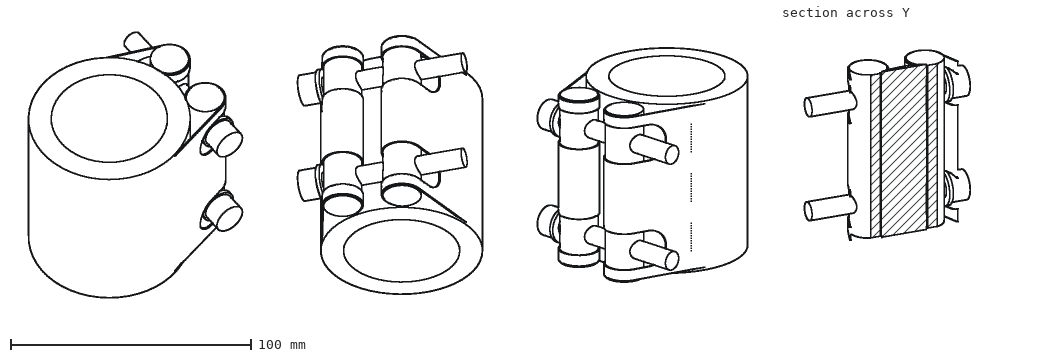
import cadquery as cq
import math

body_diameter = 67.3
bore_diameter = 48.3
body_height = 75.0
total_depth = 81.9

strap_thickness = 0.6
strap_height = 72.5
pin_diameter = 16.0
pin_height = 73.85
pin_offset = 12.9

slot_width = pin_diameter
slot_end_y = 28.0

bolt_diameter = 8.0
bolt_spacing = 47.0
bolt_tip_x = -40.1
washer_diameter = 15.0
washer_start_x = 20.9
washer_thickness = 1.6
head_diameter = 13.0
head_length = 8.1

body_radius = body_diameter / 2
pin_radius = pin_diameter / 2
loop_radius = pin_radius + strap_thickness
pin_y = total_depth - body_radius - loop_radius
bolt_levels = (-bolt_spacing / 2, bolt_spacing / 2)


def upright_cylinder(x, y, radius, height):
    """Cylinder parallel to Z, centred on the plane Z = 0."""
    return cq.Workplane("XY").center(x, y).circle(radius).extrude(height / 2, both=True)


def cylinder_along_x(start_x, z, diameter, length):
    """Cylinder on a bolt axis, running towards +X."""
    plane = cq.Workplane("YZ", origin=(start_x, pin_y, z))
    return plane.circle(diameter / 2).extrude(length)


def bolt_slot(z):
    """Round-ended opening across the strap, open towards +Y."""
    end_radius = slot_width / 2
    centre_y = slot_end_y + end_radius
    return (
        cq.Workplane("YZ")
        .moveTo(total_depth, z - end_radius)
        .lineTo(centre_y, z - end_radius)
        .threePointArc((slot_end_y, z), (centre_y, z + end_radius))
        .lineTo(total_depth, z + end_radius)
        .close()
        .extrude(total_depth, both=True)
    )


def polar_point(centre, radius, angle):
    return centre[0] + radius * math.cos(angle), centre[1] + radius * math.sin(angle)


def strap_loop():
    """Right strap: flat side tangent to body and pin loop, then wrapped around the pin to the body."""
    body_centre = (0, 0)
    pin_centre = (pin_offset, pin_y)
    axis_angle = math.atan2(pin_y, pin_offset)
    tangent_angle = axis_angle - math.acos((body_radius - loop_radius) / math.hypot(pin_offset, pin_y))
    end_angle = axis_angle + math.pi
    middle_angle = (tangent_angle + end_angle) / 2
    loop = (
        cq.Workplane("XY")
        .moveTo(*polar_point(body_centre, body_radius, tangent_angle))
        .lineTo(*polar_point(pin_centre, loop_radius, tangent_angle))
        .threePointArc(
            polar_point(pin_centre, loop_radius, middle_angle),
            polar_point(pin_centre, loop_radius, end_angle),
        )
        .lineTo(*polar_point(pin_centre, pin_radius, end_angle))
        .threePointArc(
            polar_point(pin_centre, pin_radius, middle_angle),
            polar_point(pin_centre, pin_radius, tangent_angle),
        )
        .lineTo(*polar_point(body_centre, body_radius - strap_thickness, tangent_angle))
        .close()
        .extrude(strap_height / 2, both=True)
    )
    for z in bolt_levels:
        loop = loop.cut(bolt_slot(z))
    return loop


def bolt(z):
    """Plain shank, washer and head joined on one axis."""
    shank = cylinder_along_x(bolt_tip_x, z, bolt_diameter, washer_start_x - bolt_tip_x)
    washer = cylinder_along_x(washer_start_x, z, washer_diameter, washer_thickness)
    head = cylinder_along_x(washer_start_x + washer_thickness, z, head_diameter, head_length)
    return shank.union(washer).union(head)


right_strap = strap_loop()
result = upright_cylinder(0, 0, body_radius, body_height)
result = result.union(right_strap).union(right_strap.mirror("YZ"))
for x in (-pin_offset, pin_offset):
    result = result.union(upright_cylinder(x, pin_y, pin_radius, pin_height))
for z in bolt_levels:
    result = result.union(bolt(z))
result = result.cut(upright_cylinder(0, 0, bore_diameter / 2, body_height))